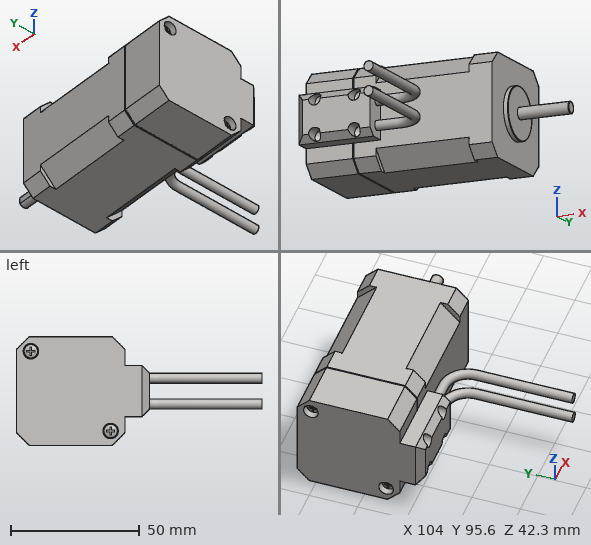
import cadquery as cq
import math


case_width = 42.3
half_width = case_width / 2
cover_length = 20.0
motor_length = 60.0
case_corner_chamfer = 5.0
seam_chamfer = 0.5
motor_front_x = cover_length + motor_length

corner_cut_size = 8.0
corner_cut_start = 30.0
corner_cut_length = 40.0

flange_diameter = 22.0
flange_length = 2.0
flange_chamfer = 0.25
shaft_diameter = 5.0
shaft_length = 24.0
shaft_chamfer = 0.3
shaft_flat_depth = 0.5
shaft_flat_length = 15.0
shaft_end = motor_front_x + shaft_length

box_length = 32.0
box_width = 20.0
box_height = 9.5
box_chamfer = 3.0
box_face_y = -half_width - box_height

drill_point_angle = 118.0
drill_half_angle = math.radians(drill_point_angle / 2)

box_hole_diameter = 5.0
box_hole_depth = 6.0
box_hole_first_x = 8.0
box_hole_pitch_x = 17.0
box_hole_columns = 2
box_hole_z = 7.0

cable_diameter = 4.0
cable_offset = 3.25
cable_y = -half_width - cable_offset
cable_z = 5.0
cable_lead = 10.0
cable_bend_radius = 10.0
cable_tail = 40.0

screw_offset = 15.5
screw_positions = [(screw_offset, screw_offset), (-screw_offset, -screw_offset)]
screw_hole_diameter = 6.0
screw_hole_depth = 4.0

head_diameter = 5.2
head_rim_height = 1.6
head_dome_height = 0.7
cross_length = 3.2
cross_width = 0.6
cross_depth = 1.0

seat_depth = screw_hole_depth + (screw_hole_diameter - head_diameter) / 2 / math.tan(drill_half_angle)


def square_bar(start_x, length, corner_chamfer):
    """Bar along X with the case's square section and chamfered long edges."""
    bar = cq.Workplane("YZ", origin=(start_x, 0, 0)).rect(case_width, case_width).extrude(length)
    return bar.edges("|X").chamfer(corner_chamfer)


def make_case():
    cover = square_bar(0, cover_length, case_corner_chamfer)
    motor = square_bar(cover_length, motor_length, case_corner_chamfer)
    motor = motor.faces("<X").chamfer(seam_chamfer)
    waist_stock = cq.Workplane("YZ", origin=(corner_cut_start, 0, 0)).rect(case_width, case_width)
    corner_cuts = waist_stock.extrude(corner_cut_length)
    corner_cuts = corner_cuts.cut(square_bar(corner_cut_start, corner_cut_length, corner_cut_size))
    return cover.union(motor.cut(corner_cuts))


def make_flange():
    flange = cq.Workplane("YZ", origin=(motor_front_x, 0, 0)).circle(flange_diameter / 2)
    return flange.extrude(flange_length).faces(">X").chamfer(flange_chamfer)


def make_shaft():
    shaft = cq.Workplane("YZ", origin=(motor_front_x, 0, 0)).circle(shaft_diameter / 2)
    shaft = shaft.extrude(shaft_length).faces(">X").chamfer(shaft_chamfer)
    flat_cut = cq.Workplane("XY").box(
        shaft_flat_length, shaft_diameter, shaft_diameter, centered=(False, False, True)
    )
    flat_y = shaft_diameter / 2 - shaft_flat_depth
    return shaft.cut(flat_cut.translate((shaft_end - shaft_flat_length, flat_y, 0)))


def make_box_hole(x, z):
    """Drilled hole entering the box face toward +Y, ending in a conical drill point."""
    radius = box_hole_diameter / 2
    point_length = radius / math.tan(drill_half_angle)
    bottom_y = box_face_y + box_hole_depth
    profile = [
        (x, box_face_y),
        (x + radius, box_face_y),
        (x + radius, bottom_y),
        (x, bottom_y + point_length),
    ]
    half_section = cq.Workplane("XY", origin=(0, 0, z)).polyline(profile).close()
    return half_section.revolve(360, (x, 0, 0), (x, 1, 0))


def make_cable_box():
    box = cq.Workplane("XY").box(box_length, box_height, box_width, centered=(False, False, True))
    box = box.translate((0, box_face_y, 0))
    box = box.faces("<Y").edges("|X or <X").chamfer(box_chamfer)
    for column in range(box_hole_columns):
        for z in (-box_hole_z, box_hole_z):
            box = box.cut(make_box_hole(box_hole_first_x + column * box_hole_pitch_x, z))
    return box


def make_cable(z):
    """Cable leaving the box along +X and bending toward -Y."""
    bend_start = box_length + cable_lead
    bend_end = bend_start + cable_bend_radius
    tail_start_y = cable_y - cable_bend_radius
    path = (
        cq.Workplane("XY", origin=(0, 0, z))
        .moveTo(box_length, cable_y)
        .lineTo(bend_start, cable_y)
        .tangentArcPoint((bend_end, tail_start_y), relative=False)
        .lineTo(bend_end, tail_start_y - cable_tail)
    )
    section = cq.Workplane("YZ", origin=(box_length, cable_y, z)).circle(cable_diameter / 2)
    return section.sweep(path)


def make_screw_hole(y, z):
    """Drilled hole along X whose conical floor ends at the flat seat of the screw head."""
    profile = [
        (0, 0),
        (0, screw_hole_diameter / 2),
        (screw_hole_depth, screw_hole_diameter / 2),
        (seat_depth, head_diameter / 2),
        (seat_depth, 0),
    ]
    hole = cq.Workplane("XY").polyline(profile).close().revolve(360, (0, 0, 0), (1, 0, 0))
    return hole.translate((0, y, z))


def make_motor():
    motor = make_case().union(make_flange()).union(make_shaft()).union(make_cable_box())
    for z in (-cable_z, cable_z):
        motor = motor.union(make_cable(z))
    for y, z in screw_positions:
        motor = motor.cut(make_screw_hole(y, z))
    return motor


def make_screw(y, z):
    """Domed screw head with a cross recess, resting on the seat of its hole."""
    radius = head_diameter / 2
    head_height = head_rim_height + head_dome_height
    dome_radius = (radius**2 + head_dome_height**2) / (2 * head_dome_height)
    middle_radius = radius / 2
    middle_height = head_height - dome_radius + math.sqrt(dome_radius**2 - middle_radius**2)
    head = (
        cq.Workplane("XY")
        .lineTo(0, radius)
        .lineTo(-head_rim_height, radius)
        .threePointArc((-middle_height, middle_radius), (-head_height, 0))
        .close()
        .revolve(360, (0, 0, 0), (1, 0, 0))
    )
    head_top = cq.Workplane("YZ", origin=(-head_height, 0, 0))
    for arm_y, arm_z in ((cross_length, cross_width), (cross_width, cross_length)):
        head = head.cut(head_top.rect(arm_y, arm_z).extrude(cross_depth))
    return head.translate((seat_depth, y, z))


motor = make_motor()
screws = [make_screw(y, z) for y, z in screw_positions]

result = cq.Compound.makeCompound([motor.val(), *[screw.val() for screw in screws]])